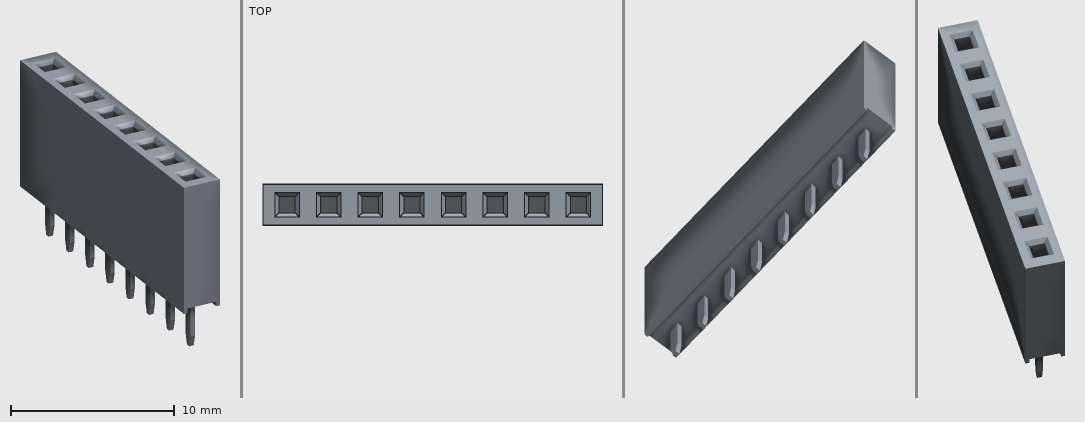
import cadquery as cq

contact_count = 8
row_span = 17.78
pitch = row_span / (contact_count - 1)

housing_length = 20.72
housing_width = 2.5
housing_height = 8.52

foot_thickness = 0.25
channel_depth = 0.31
channel_width = housing_width - 2 * foot_thickness

mouth_size = 1.5
bore_size = 1.0
lead_in_depth = (mouth_size - bore_size) / 2
socket_depth = 6.0

pin_width = 0.65
pin_thickness = 0.31
pin_tip_width = 0.3
pin_taper_length = 0.75
pin_reach = 2.98

contact_positions = [i * pitch - row_span / 2 for i in range(contact_count)]


def make_socket_cut(x):
    """Tapered mouth and straight blind bore of one socket."""
    mouth = (
        cq.Workplane("XY", origin=(x, 0, housing_height))
        .rect(mouth_size, mouth_size)
        .workplane(offset=-lead_in_depth)
        .rect(bore_size, bore_size)
        .loft(ruled=True)
    )
    bore = (
        cq.Workplane("XY", origin=(x, 0, housing_height - socket_depth))
        .rect(bore_size, bore_size)
        .extrude(socket_depth)
    )
    return mouth.union(bore)


def make_housing():
    """Block with an open channel underneath and a row of sockets on top."""
    block = cq.Workplane("XY").rect(housing_length, housing_width).extrude(housing_height)
    channel = cq.Workplane("XY").rect(housing_length, channel_width).extrude(channel_depth)
    body = block.cut(channel)
    for x in contact_positions:
        body = body.cut(make_socket_cut(x))
    return body


def make_pin(x):
    """Flat pin hanging from the channel ceiling, narrowing in X towards its tip."""
    half_width = pin_width / 2
    half_tip = pin_tip_width / 2
    tip_z = -pin_reach
    taper_z = tip_z + pin_taper_length
    outline = [
        (-half_width, channel_depth),
        (-half_width, taper_z),
        (-half_tip, tip_z),
        (half_tip, tip_z),
        (half_width, taper_z),
        (half_width, channel_depth),
    ]
    return (
        cq.Workplane("XZ", origin=(x, 0, 0))
        .polyline(outline)
        .close()
        .extrude(pin_thickness / 2, both=True)
    )


housing = make_housing()
pins = [make_pin(x) for x in contact_positions]

result = cq.Compound.makeCompound([housing.val(), *[pin.val() for pin in pins]])